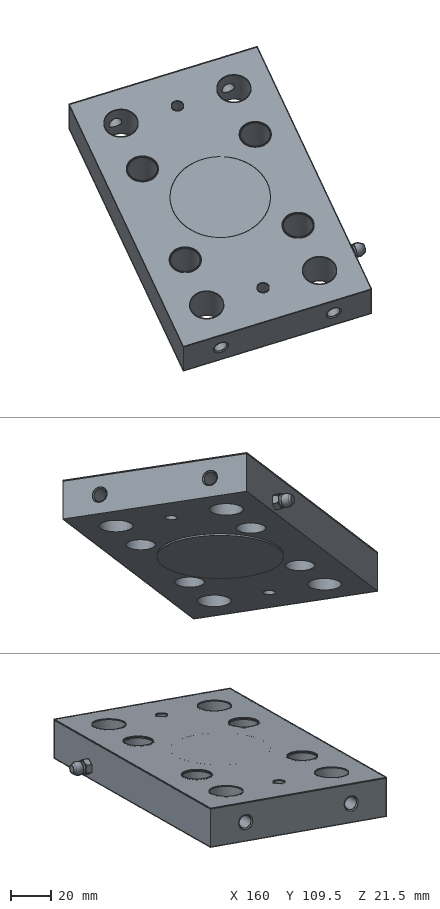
import cadquery as cq
import math

plate_length = 160.0
plate_width = 100.0
sheet_thickness = 0.5
top_z = 20.5
plate_thickness = top_z - sheet_thickness

outer_hole_x = 60.0
hole_pitch = outer_hole_x / 2
outer_hole_diameter = 17.0
small_hole_diameter = 6.0
inner_hole_diameter = 14.9
inner_hole_sheet_diameter = 15.0
inner_hole_chamfer_diameter = 16.0
inner_hole_chamfer = (inner_hole_chamfer_diameter - inner_hole_diameter) / 2

cross_hole_radius = 3.4
cross_hole_chamfer = 0.6
cross_hole_depth = plate_length / 2 - outer_hole_x
cross_hole_z = plate_thickness / 2

flange_diameter = 63.0
flange_thickness = 1.0
stem_diameter = 50.0

nipple_x = 45.0
nipple_z = 6.0
hex_sides = 6
hex_across_flats = 7.2
hex_length = 3.4
hex_end_radius = hex_across_flats / 2
hex_chamfer_length = 0.6
hex_corner_radius = hex_across_flats / 2 / math.cos(math.pi / hex_sides)
neck_radius = 3.4
neck_end = 4.5
ball_radius = 3.5
ball_center = 6.0
ball_end = 8.3
tip_radius = 2.0
nipple_length = 9.5

outer_corners = [(sx * outer_hole_x, sy * hole_pitch) for sx in (-1, 1) for sy in (-1, 1)]
inner_corners = [(sx * hole_pitch, sy * hole_pitch) for sx in (-1, 1) for sy in (-1, 1)]
end_centers = [(-outer_hole_x, 0), (outer_hole_x, 0)]


def drilled_slab(bottom_z, thickness, inner_diameter):
    """Rectangular slab with the full pattern of vertical through holes."""
    slab = cq.Workplane("XY", origin=(0, 0, bottom_z)).rect(plate_length, plate_width).extrude(thickness)
    hole_sets = [
        (outer_corners, outer_hole_diameter),
        (inner_corners, inner_diameter),
        (end_centers, small_hole_diameter),
    ]
    for centers, diameter in hole_sets:
        holes = cq.Workplane("XY", origin=(0, 0, bottom_z)).pushPoints(centers).circle(diameter / 2)
        slab = slab.cut(holes.extrude(thickness))
    return slab


def inner_hole_countersink(x, y):
    """Cone that chamfers the top rim of one inner hole in the plate."""
    return cq.Workplane(
        cq.Solid.makeCone(
            inner_hole_diameter / 2,
            inner_hole_chamfer_diameter / 2,
            inner_hole_chamfer,
            pnt=cq.Vector(x, y, plate_thickness - inner_hole_chamfer),
        )
    )


def cross_hole(side, y):
    """Cutter for one chamfered hole running from the end face inward along X."""
    end_face = side * plate_length / 2
    inward = cq.Plane(origin=(end_face, y, cross_hole_z), xDir=(0, 1, 0), normal=(0, 0, side))
    return (
        cq.Workplane(inward)
        .lineTo(cross_hole_radius + cross_hole_chamfer, 0)
        .lineTo(cross_hole_radius, cross_hole_chamfer)
        .lineTo(cross_hole_radius, cross_hole_depth)
        .lineTo(0, cross_hole_depth)
        .close()
        .revolve(360, (0, 0, 0), (0, 1, 0))
    )


def make_plate():
    plate = drilled_slab(0, plate_thickness, inner_hole_diameter)
    for x, y in inner_corners:
        plate = plate.cut(inner_hole_countersink(x, y))
    for side in (-1, 1):
        for y in (-hole_pitch, hole_pitch):
            plate = plate.cut(cross_hole(side, y))
    central_bore = cq.Workplane("XY").circle(stem_diameter / 2).extrude(plate_thickness)
    return plate.cut(central_bore)


def make_cover_sheet():
    return drilled_slab(plate_thickness, sheet_thickness, inner_hole_sheet_diameter)


def make_bearing_disc():
    flange = cq.Workplane("XY").circle(flange_diameter / 2).extrude(-flange_thickness)
    stem = cq.Workplane("XY").circle(stem_diameter / 2).extrude(plate_thickness)
    return flange.union(stem)


def ball_profile_radius(y):
    """Radius of the nipple's ball at distance y along the nipple axis."""
    return math.sqrt(ball_radius**2 - (y - ball_center) ** 2)


def make_nipple():
    foot = (nipple_x, plate_width / 2, nipple_z)
    hex_plane = cq.Plane(origin=foot, xDir=(0, 0, 1), normal=(0, 1, 0))
    profile_plane = cq.Plane(origin=foot, xDir=(1, 0, 0), normal=(0, 0, 1))

    hexagon = cq.Workplane(hex_plane).polygon(hex_sides, 2 * hex_corner_radius).extrude(hex_length)
    envelope = (
        cq.Workplane(profile_plane)
        .lineTo(hex_corner_radius, 0)
        .lineTo(hex_corner_radius, hex_length - hex_chamfer_length)
        .lineTo(hex_end_radius, hex_length)
        .lineTo(0, hex_length)
        .close()
        .revolve(360, (0, 0, 0), (0, 1, 0))
    )
    head = (
        cq.Workplane(profile_plane)
        .moveTo(0, hex_length)
        .lineTo(neck_radius, hex_length)
        .lineTo(neck_radius, neck_end)
        .lineTo(ball_profile_radius(neck_end), neck_end)
        .threePointArc((ball_radius, ball_center), (ball_profile_radius(ball_end), ball_end))
        .lineTo(tip_radius, nipple_length)
        .lineTo(0, nipple_length)
        .close()
        .revolve(360, (0, 0, 0), (0, 1, 0))
    )
    return hexagon.intersect(envelope).union(head)


plate = make_plate()
cover_sheet = make_cover_sheet()
bearing_disc = make_bearing_disc()
nipple = make_nipple()

bodies = [plate, cover_sheet, bearing_disc, nipple]
result = cq.Compound.makeCompound([body.solids().val() for body in bodies])